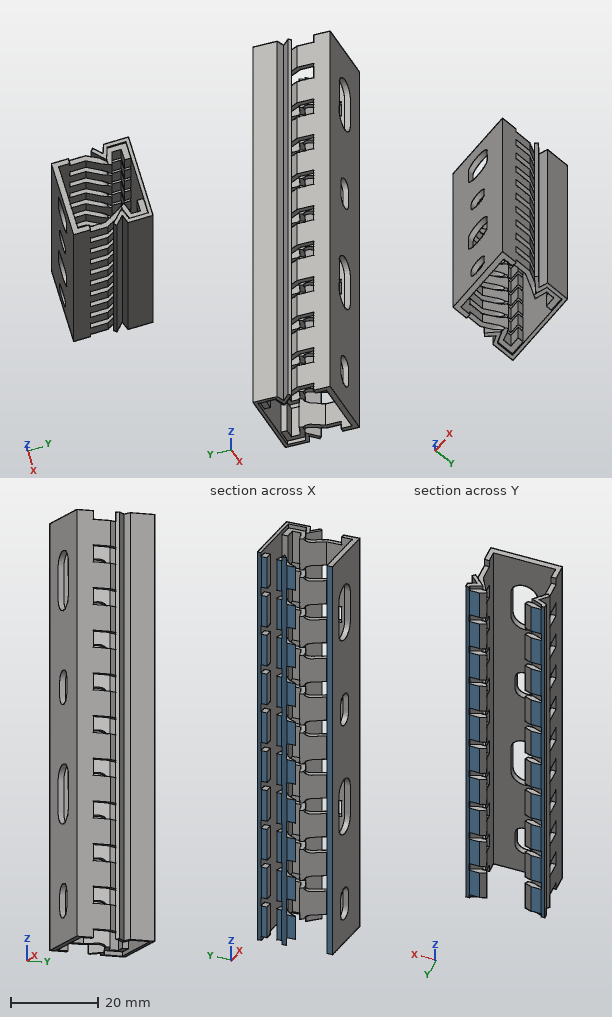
import cadquery as cq
import math

LENGTH = 100.0
COVER_WIDTH = 19.4
TOTAL_DEPTH = 18.8
COVER_WALL = 0.9

WALL = 1.2
FLOOR = 1.4
SHOULDER_Y = 8.2
LIP_THICKNESS = 1.5
LIP_TIP_X = 5.0
WAIST_X = 4.7
WAIST_Y = 13.3

ARM_START_Y = 13.4
ARM_ANGLE = 20.0
FLARE_TIP_X = 8.9
FLARE_TIP_Y = 9.5
CONTACT_X = 7.3

SLOT_PITCH = 10.0
SLOT_WIDTH = 4.0
SLOT_FLOOR_Y = 4.1
SLOT_ROUND_Y = 10.8
SLIT_WIDTH = 2.0

HOLE_PITCH = 50.0
LARGE_HOLE = (14.0, 6.6)
LARGE_HOLE_Z = 35.0
SMALL_HOLE = (8.0, 4.6)
SMALL_HOLE_Z = 10.0

cover_half = COVER_WIDTH / 2
trunk_half = cover_half - COVER_WALL
trunk_inner = trunk_half - WALL
trunk_top = TOTAL_DEPTH - COVER_WALL
arm_slope = math.tan(math.radians(ARM_ANGLE))
arm_drop = 1 / math.cos(math.radians(ARM_ANGLE))
flare_sum = FLARE_TIP_X + FLARE_TIP_Y
contact_y = flare_sum - CONTACT_X
lean = math.atan2(trunk_half - CONTACT_X, contact_y - SHOULDER_Y)


def arm_y(x):
    """Height of the face where arm and trunk touch."""
    return ARM_START_Y - arm_slope * (trunk_half - x)


notch_x = (flare_sum - arm_y(0)) / (1 + arm_slope)
notch = (notch_x, flare_sum - notch_x)


def symmetric_extrusion(half_outline):
    """Extrude the outline made of the +X half and its mirror image."""
    mirrored = [(-x, y) for x, y in reversed(half_outline)]
    return cq.Workplane("XY").polyline(half_outline + mirrored).close().extrude(LENGTH)


def finger_slot(z):
    """Cutter for a slot through both side walls: wide, round-ended, then a narrow slit."""
    radius = SLOT_WIDTH / 2
    half_slit = SLIT_WIDTH / 2
    slit_start_y = SLOT_ROUND_Y + math.sqrt(radius**2 - half_slit**2)
    arc_mid = math.asin(half_slit / radius) / 2 + math.pi / 4
    arc_y = SLOT_ROUND_Y + radius * math.cos(arc_mid)
    arc_z = radius * math.sin(arc_mid)
    return (
        cq.Workplane("YZ")
        .moveTo(SLOT_FLOOR_Y, z - radius)
        .lineTo(SLOT_ROUND_Y, z - radius)
        .threePointArc((arc_y, z - arc_z), (slit_start_y, z - half_slit))
        .lineTo(TOTAL_DEPTH, z - half_slit)
        .lineTo(TOTAL_DEPTH, z + half_slit)
        .lineTo(slit_start_y, z + half_slit)
        .threePointArc((arc_y, z + arc_z), (SLOT_ROUND_Y, z + radius))
        .lineTo(SLOT_FLOOR_Y, z + radius)
        .close()
        .extrude(cover_half, both=True)
    )


def floor_hole(size, z):
    """Cutter for a round-ended hole through the trunk floor, long along Z."""
    length, width = size
    return cq.Workplane("XZ").center(0, z).slot2D(length, width, 90).extrude(-FLOOR)


def make_trunk():
    outer_side = [
        (trunk_half, 0),
        (trunk_half, SHOULDER_Y),
        (CONTACT_X, contact_y),
        notch,
        (trunk_half, ARM_START_Y),
        (trunk_half, trunk_top),
    ]
    inner_side = [
        (LIP_TIP_X, trunk_top),
        (LIP_TIP_X, trunk_top - LIP_THICKNESS),
        (trunk_inner, trunk_top - LIP_THICKNESS),
        (trunk_inner, arm_y(trunk_inner) + WALL * arm_drop),
        (WAIST_X, WAIST_Y),
        (trunk_inner, SHOULDER_Y - WALL * math.tan(lean / 2)),
        (trunk_inner, FLOOR),
    ]
    trunk = symmetric_extrusion(outer_side + inner_side)
    for i in range(round(LENGTH / SLOT_PITCH) + 1):
        trunk = trunk.cut(finger_slot(i * SLOT_PITCH))
    for i in range(round(LENGTH / HOLE_PITCH)):
        trunk = trunk.cut(floor_hole(LARGE_HOLE, LARGE_HOLE_Z + i * HOLE_PITCH))
        trunk = trunk.cut(floor_hole(SMALL_HOLE, SMALL_HOLE_Z + i * HOLE_PITCH))
    return trunk


def make_cover():
    outer_arm_y = arm_y(0) - COVER_WALL * arm_drop
    outer_flare_sum = flare_sum + COVER_WALL * math.sqrt(2)
    crease_x = (outer_flare_sum - outer_arm_y) / (1 + arm_slope)
    flare_end = COVER_WALL / math.sqrt(2)
    return symmetric_extrusion([
        (cover_half, TOTAL_DEPTH),
        (cover_half, outer_arm_y + arm_slope * cover_half),
        (crease_x, outer_flare_sum - crease_x),
        (FLARE_TIP_X + flare_end, FLARE_TIP_Y + flare_end),
        (FLARE_TIP_X, FLARE_TIP_Y),
        notch,
        (trunk_half, ARM_START_Y),
        (trunk_half, trunk_top),
    ])


trunk = make_trunk()
cover = make_cover()
result = cq.Compound.makeCompound([trunk.val(), cover.val()])